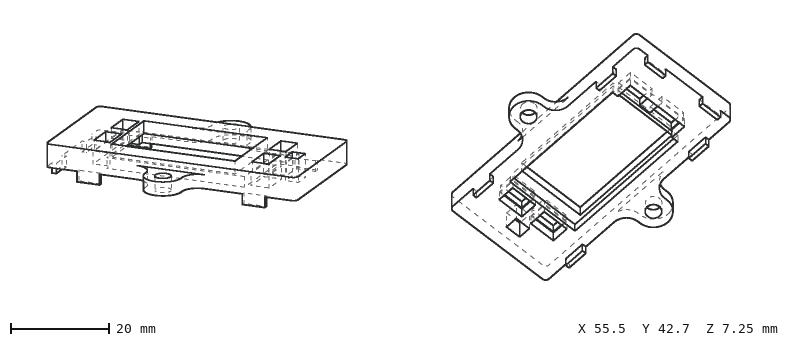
import cadquery as cq
import math

body_length = 55.5
body_width = 26.7
body_height = 5.0
corner_radius = 0.95

total_height = 7.25
tab_width = 5.0
tab_thickness = 0.95
side_tab_x = 18.3
end_tab_y = 7.6

overall_width = 42.7
lug_radius = 4.0
lug_height = 3.0
lug_blend_radius = 3.45
lug_hole_diameter = 3.4

window_left = -15.3
window_right = 12.0
window_width = 16.4
display_side_clearance = 0.85
display_face_thickness = 2.7
display_pocket_right = 14.45
display_pocket_width = window_width + 2 * display_side_clearance

left_button_x = (-19.65, -16.1)
right_button_x = (15.4, 19.05)
button_opening_width = 5.95
button_row_spacing = 8.75
button_rows_shift = 0.05
button_face_thickness = 2.2
button_clearance = 0.15

small_opening_x = (20.3, 23.2)
small_opening_width = 3.65


def block(x_range, y_range, z_range):
    """Box filling the given (low, high) ranges."""
    size = [high - low for low, high in (x_range, y_range, z_range)]
    corner = (x_range[0], y_range[0], z_range[0])
    return cq.Workplane("XY").box(*size, centered=False).translate(corner)


def centred(width, centre=0.0):
    """Range of the given width about a centre."""
    return (centre - width / 2, centre + width / 2)


def grow(span, margin):
    """Range widened by a margin at both ends."""
    return (span[0] - margin, span[1] + margin)


def make_lug():
    """Rounded ear on the +Y side, flowing into the long wall through concave arcs."""
    wall_y = body_width / 2
    root_y = wall_y - tab_thickness
    hole_y = overall_width / 2 - lug_radius
    blend_top_y = wall_y + lug_blend_radius
    root_x = lug_radius + lug_blend_radius
    blend_mid = lug_blend_radius * math.cos(math.radians(45))
    mid_x = root_x - blend_mid
    mid_y = blend_top_y - blend_mid
    base = cq.Workplane("XY", origin=(0, 0, -body_height))
    plate = (
        base.moveTo(-root_x, root_y)
        .lineTo(-root_x, wall_y)
        .threePointArc((-mid_x, mid_y), (-lug_radius, blend_top_y))
        .lineTo(-lug_radius, hole_y)
        .threePointArc((0, overall_width / 2), (lug_radius, hole_y))
        .lineTo(lug_radius, blend_top_y)
        .threePointArc((mid_x, mid_y), (root_x, wall_y))
        .lineTo(root_x, root_y)
        .close()
        .extrude(lug_height)
    )
    hole = base.center(0, hole_y).circle(lug_hole_diameter / 2).extrude(lug_height)
    return plate.cut(hole)


through = (-body_height, 0)
below_display_face = (-body_height, -display_face_thickness)
below_button_face = (-body_height, -button_face_thickness)
upper_row = centred(button_opening_width, button_rows_shift + button_row_spacing / 2)
lower_row = centred(button_opening_width, button_rows_shift - button_row_spacing / 2)

result = block(centred(body_length), centred(body_width), through)
result = result.edges("|Z").fillet(corner_radius)

lug = make_lug()
result = result.union(lug).union(lug.mirror("XZ"))

tab_z = (-total_height, -body_height)
tab_inset = tab_thickness / 2
end_wall_x = centred(tab_thickness, -body_length / 2 + tab_inset)
for side in (-1, 1):
    side_wall_y = centred(tab_thickness, side * (body_width / 2 - tab_inset))
    for tab_x in (-side_tab_x, side_tab_x):
        result = result.union(block(centred(tab_width, tab_x), side_wall_y, tab_z))
    result = result.union(block(end_wall_x, centred(tab_width, side * end_tab_y), tab_z))

result = result.cut(block((window_left, window_right), centred(window_width), through))
display_pocket_x = (left_button_x[1], display_pocket_right)
result = result.cut(block(display_pocket_x, centred(display_pocket_width), below_display_face))

for row in (upper_row, lower_row):
    for column in (left_button_x, right_button_x):
        result = result.cut(block(column, row, through))

left_pocket_x = (left_button_x[0] - button_clearance, left_button_x[1])
left_pocket_y = grow((lower_row[0], upper_row[1]), button_clearance)
result = result.cut(block(left_pocket_x, left_pocket_y, below_button_face))
right_pocket_x = grow(right_button_x, button_clearance)
for row in (upper_row, lower_row):
    right_pocket_y = grow(row, button_clearance)
    result = result.cut(block(right_pocket_x, right_pocket_y, below_button_face))

result = result.cut(block(small_opening_x, centred(small_opening_width), through))